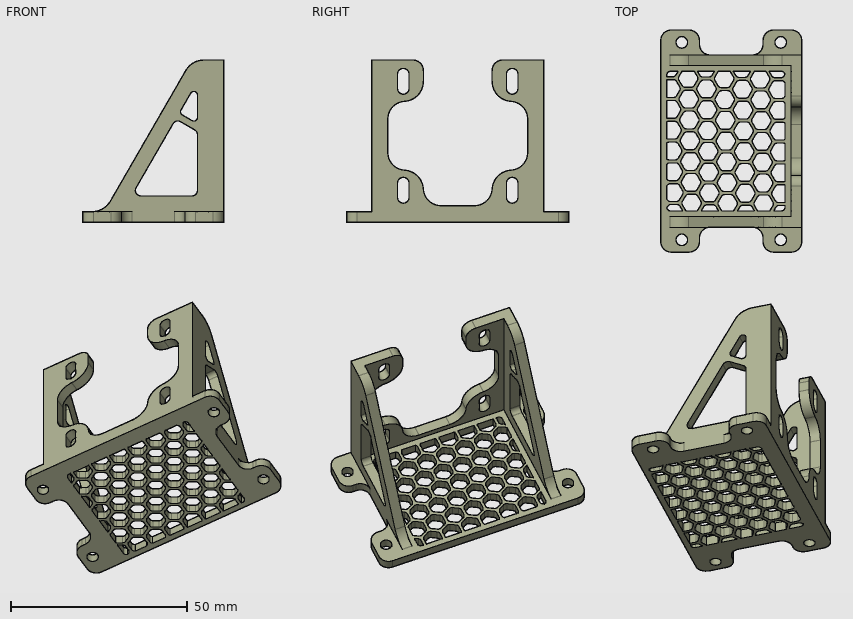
import cadquery as cq
import math

depth = 40.0
width = 63.0
height = 46.0
thickness = 3.0
corner_radius = 3.0

body_width = 48.8
ear_width = 11.0
ear_hole_diameter = 3.2
ear_hole_from_side = 6.0
ear_hole_from_end = 3.5

grille_margin_x = 1.75
grille_margin_y = 1.65
grille_corner_radius = 1.0
cell_across_flats = 5.0
cell_corner_radius = 1.0
falling_row_pitch = 6.0
rising_row_pitch = 5.8
row_angle = math.radians(30)

rib_slope = math.radians(60)
rib_toe_x = 6.1
rib_bend_radius = 6.0
rib_window_border = 7.5
rib_strut_width = 4.5
brace_width = 1.95
brace_height = 25.7
lower_window_radius = 1.5
upper_window_radius = 1.0

fan_center_z = (height + thickness) / 2
slot_offset = 15.45
slot_width = 3.2
slot_length = 7.25
pad_radius = 5.75
fan_opening_half = 19.8
fan_bend_radius = 5.0

inner_depth = depth - thickness
inner_width = body_width - 2 * thickness


def make_base():
    ear_length = (width - body_width) / 2
    base = cq.Workplane("XY").box(depth, width, thickness, centered=(False, True, False))
    for side in (-1, 1):
        gap = (
            cq.Workplane("XY")
            .center(depth / 2, side * (body_width + ear_length) / 2)
            .rect(depth - 2 * ear_width, ear_length)
            .extrude(thickness)
        )
        base = base.cut(gap)
    base = base.edges("|Z").fillet(corner_radius)

    hole_x = depth / 2 - ear_hole_from_side
    hole_y = width / 2 - ear_hole_from_end
    hole_points = [(depth / 2 + sx * hole_x, sy * hole_y) for sx in (-1, 1) for sy in (-1, 1)]
    holes = (
        cq.Workplane("XY")
        .pushPoints(hole_points)
        .circle(ear_hole_diameter / 2)
        .extrude(thickness)
    )
    return base.cut(holes)


def make_grille_openings():
    window_depth = inner_depth - 2 * grille_margin_x
    window_width = inner_width - 2 * grille_margin_y
    cell_across_corners = cell_across_flats / math.cos(math.pi / 6)

    reach_x = (window_depth + cell_across_corners) / 2
    reach_y = (window_width + cell_across_flats) / 2
    row_count = math.ceil((reach_x + reach_y) / rising_row_pitch)
    cell_points = []
    for falling in range(-row_count, row_count + 1):
        for rising in range(-row_count, row_count + 1):
            along_falling = falling * falling_row_pitch
            along_rising = rising * rising_row_pitch
            x = (along_rising + along_falling) * math.cos(row_angle)
            y = (along_rising - along_falling) * math.sin(row_angle)
            if abs(x) < reach_x and abs(y) < reach_y:
                cell_points.append((x, y))

    cells = (
        cq.Workplane("XY")
        .center(inner_depth / 2, 0)
        .pushPoints(cell_points)
        .polygon(6, cell_across_corners)
        .extrude(thickness)
        .edges("|Z")
        .fillet(cell_corner_radius)
    )
    window = (
        cq.Workplane("XY")
        .center(inner_depth / 2, 0)
        .rect(window_depth, window_width)
        .extrude(thickness)
        .edges("|Z")
        .fillet(grille_corner_radius)
    )
    return cells.intersect(window)


def extrude_rib_outline(points):
    return cq.Workplane("XZ").polyline(points).close().extrude(thickness)


def make_rib():
    """Triangular rib with two windows, lying between Y = -thickness and Y = 0."""
    slope = math.tan(rib_slope)
    crest_x = rib_toe_x + (height - thickness) / slope
    tangent_length = rib_bend_radius * math.tan(rib_slope / 2)
    bend_dx = tangent_length * math.cos(rib_slope)
    bend_dz = tangent_length * math.sin(rib_slope)
    rib = (
        cq.Workplane("XZ")
        .moveTo(depth, 0)
        .lineTo(depth, height)
        .lineTo(crest_x + tangent_length, height)
        .radiusArc((crest_x - bend_dx, height - bend_dz), -rib_bend_radius)
        .lineTo(rib_toe_x + bend_dx, thickness + bend_dz)
        .radiusArc((rib_toe_x - tangent_length, thickness), rib_bend_radius)
        .lineTo(rib_toe_x - tangent_length, 0)
        .close()
        .extrude(thickness)
    )

    back_x = depth - rib_window_border
    floor_z = rib_window_border
    strut_base_x = rib_toe_x + rib_strut_width / math.sin(rib_slope) - thickness / slope

    def brace_corner(back_z):
        x = (back_z + back_x / slope + strut_base_x * slope) / (slope + 1 / slope)
        return (x, (x - strut_base_x) * slope)

    upper_back_z = brace_height + brace_width / math.sin(rib_slope)
    lower_window = [
        (strut_base_x + floor_z / slope, floor_z),
        (back_x, floor_z),
        (back_x, brace_height),
        brace_corner(brace_height),
    ]
    upper_window = [
        brace_corner(upper_back_z),
        (back_x, upper_back_z),
        (back_x, (back_x - strut_base_x) * slope),
    ]
    for outline, radius in ((lower_window, lower_window_radius), (upper_window, upper_window_radius)):
        rib = rib.cut(extrude_rib_outline(outline).edges("|Y").fillet(radius))
    return rib


def make_back_plate():
    plate = (
        cq.Workplane("XY")
        .box(thickness, body_width, height, centered=(False, True, False))
        .translate((inner_depth, 0, 0))
    )
    fan_plane = cq.Workplane("YZ", origin=(inner_depth, 0, fan_center_z))

    pad_edge = slot_offset - pad_radius
    bend_center = fan_opening_half - fan_bend_radius
    center_distance = pad_radius + fan_bend_radius
    bend_start = slot_offset - math.sqrt(center_distance**2 - (slot_offset - bend_center) ** 2)
    pad_share = pad_radius / center_distance
    near = slot_offset + (bend_start - slot_offset) * pad_share
    far = slot_offset + (bend_center - slot_offset) * pad_share
    top = height - fan_center_z
    opening = (
        fan_plane.moveTo(0, -fan_opening_half)
        .lineTo(bend_start, -fan_opening_half)
        .radiusArc((near, -far), -fan_bend_radius)
        .radiusArc((far, -near), pad_radius)
        .radiusArc((fan_opening_half, -bend_start), -fan_bend_radius)
        .lineTo(fan_opening_half, bend_start)
        .radiusArc((far, near), -fan_bend_radius)
        .radiusArc((pad_edge, slot_offset), pad_radius)
        .lineTo(pad_edge, top - corner_radius)
        .radiusArc((pad_edge + corner_radius, top), corner_radius)
        .lineTo(0, top)
        .mirrorY()
        .extrude(thickness)
    )
    slots = (
        fan_plane.rect(2 * slot_offset, 2 * slot_offset, forConstruction=True)
        .vertices()
        .slot2D(slot_length, slot_width, 90)
        .extrude(thickness)
    )
    return plate.cut(opening).cut(slots)


rib = make_rib()
right_rib = rib.translate((0, -inner_width / 2, 0))
left_rib = rib.translate((0, body_width / 2, 0))
frame = make_base().union(right_rib).union(left_rib).union(make_back_plate())
result = frame.cut(make_grille_openings())